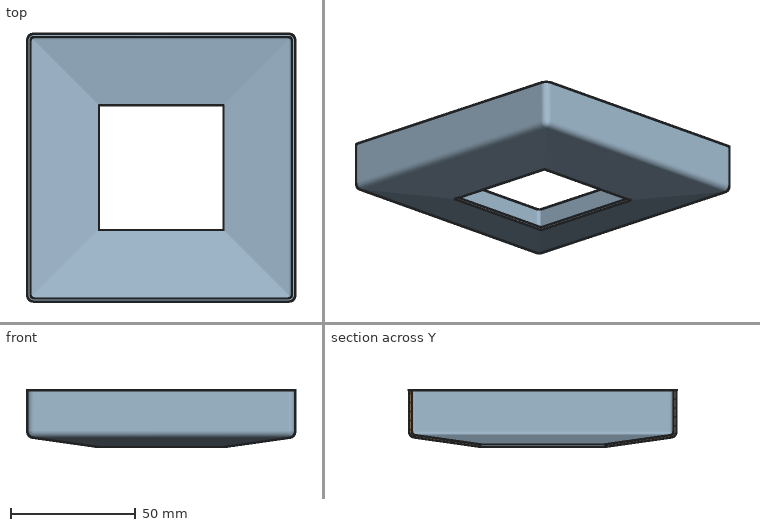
import cadquery as cq

outer_side = 108.0
total_height = 23.0
wall = 1.4
opening_side = 50.1
floor_height = 1.2
floor_rise = 4.1
outer_radius = 2.7

inner_side = outer_side - 2 * wall
inner_radius = outer_radius - wall

slope = floor_rise / ((outer_side - opening_side) / 2)


def rounded_hopper(side, bottom, radius):
    """Solid square block on a shallow upturned pyramid, rounded at its corners and wall foot."""
    shoulder = bottom + slope * (side - opening_side) / 2
    pyramid = (
        cq.Workplane("XY", origin=(0, 0, bottom))
        .rect(opening_side, opening_side)
        .workplane(offset=shoulder - bottom)
        .rect(side, side)
        .loft(ruled=True)
    )
    block = (
        cq.Workplane("XY", origin=(0, 0, shoulder))
        .rect(side, side)
        .extrude(total_height - shoulder)
    )
    corner_and_foot_edges = "|Z or ((|X or |Y) exc (>Z or <Z))"
    return block.union(pyramid).edges(corner_and_foot_edges).fillet(radius)


outside = rounded_hopper(outer_side, 0, outer_radius)
cavity = rounded_hopper(inner_side, floor_height, inner_radius)
opening = cq.Workplane("XY").rect(opening_side, opening_side).extrude(total_height)

result = outside.cut(cavity).cut(opening)